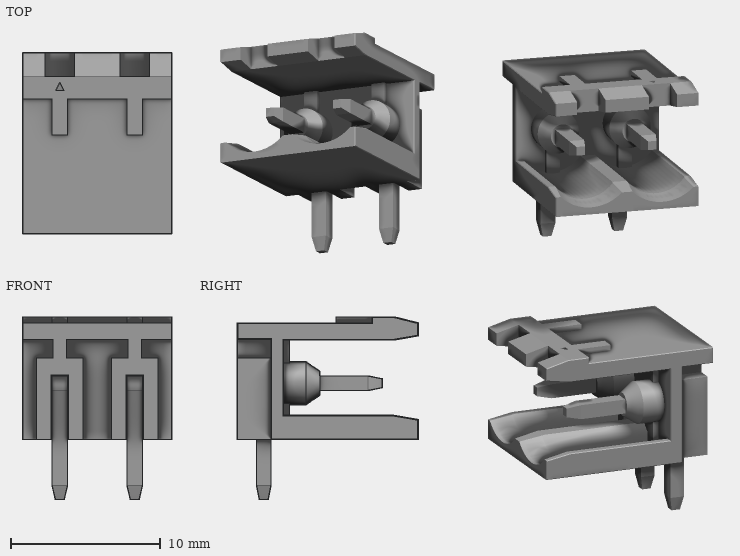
import cadquery as cq


pole_pitch = 5.0
pole_count = 2
housing_width = pole_pitch * pole_count
pole_centres = [(i - (pole_count - 1) / 2) * pole_pitch for i in range(pole_count)]

housing_depth = 12.1
floor_top = 1.65
floor_tip_top = 1.35
floor_slope_length = 1.75
roof_bottom = 6.7
cavity_top = 6.65
roof_top = 7.8
roof_tip_bottom = 6.93
roof_slope_length = 1.6
strap_top = 8.2
strap_rear = housing_depth - 3.1
wall_rear = 2.25
wall_front = 3.1
side_edge_chamfer = 0.05

key_width = 1.05
key_rear = housing_depth - 5.5
notch_width = 1.97
notch_depth = 1.6
marker_size = 0.53
marker_base = 9.58
marker_depth = 0.1

trough_width = 4.0
trough_bottom = 0.68
trough_entry_width = 4.8
trough_entry_bottom = 0.48
trough_entry_length = notch_depth

neck_width = 0.93
block_width = 3.1
block_top = 5.47
slot_width = 1.15
slot_top = 4.33

rib_width = 0.95
rib_front = 3.5
boss_radius = 1.44
boss_tip_radius = 0.8
boss_cone_start = 4.6
boss_front = 5.53

pin_width = 1.05
pin_thickness = 0.98
pin_axis_z = 3.77
pin_front = 9.7
pin_bottom = -4.0
pin_rear = 1.29
pin_taper_length = 0.95
pin_tip_size = 0.6


def box(x_centre, width, y_range, z_range):
    """Block of the given width about x_centre, spanning y_range and z_range."""
    y0, y1 = y_range
    z0, z1 = z_range
    return cq.Workplane("XY").box(width, y1 - y0, z1 - z0).translate(
        (x_centre, (y0 + y1) / 2, (z0 + z1) / 2)
    )


def extrude_side_profile(profile, width):
    """Extrude a closed (Y, Z) profile symmetrically about X = 0."""
    return profile.close().extrude(width / 2, both=True)


def make_shell():
    """Floor, wall and roof with the raised front strap, with the side edges broken."""
    profile = cq.Workplane("YZ").polyline(
        [
            (wall_rear, 0),
            (housing_depth, 0),
            (housing_depth, floor_tip_top),
            (housing_depth - floor_slope_length, floor_top),
            (wall_front, floor_top),
            (wall_front, cavity_top),
            (housing_depth - roof_slope_length, cavity_top),
            (housing_depth, roof_tip_bottom),
            (housing_depth, roof_top),
            (housing_depth - roof_slope_length, strap_top),
            (strap_rear, strap_top),
            (strap_rear, roof_top),
            (0, roof_top),
            (0, roof_bottom),
            (wall_rear, roof_bottom),
        ]
    )
    shell = extrude_side_profile(profile, housing_width)
    return shell.faces("<X or >X").chamfer(side_edge_chamfer)


def trough_section(workplane, width, bottom):
    """Add an arc-bottomed trough outline, level with the floor top, to workplane."""
    half = width / 2
    return workplane.moveTo(-half, floor_top).threePointArc((0, bottom), (half, floor_top)).close()


def make_trough(x):
    """Cutter for a rounded trough in the floor with a flared entry."""
    entry_rear = housing_depth - trough_entry_length
    rear_plane = cq.Workplane("XZ", origin=(x, entry_rear, 0))
    rear = trough_section(rear_plane, trough_width, trough_bottom).extrude(entry_rear - wall_front)
    entry_plane = cq.Workplane("XZ", origin=(x, housing_depth, 0))
    entry = trough_section(entry_plane, trough_entry_width, trough_entry_bottom)
    entry = entry.workplane(offset=trough_entry_length)
    entry = trough_section(entry, trough_width, trough_bottom).loft(ruled=True)
    return rear.union(entry)


def make_notch(x):
    """Cutter for the notch through the front edge of the roof."""
    return box(x, notch_width, (housing_depth - notch_depth, housing_depth), (cavity_top, strap_top))


def make_key(x):
    """Raised key running back from the strap along the roof."""
    return box(x, key_width, (key_rear, strap_rear), (roof_top, strap_top))


def make_rear_block(x):
    """T-shaped block hanging under the roof, slotted for the pin."""
    neck = box(x, neck_width, (0, wall_rear), (block_top, roof_bottom))
    block = box(x, block_width, (0, wall_rear), (0, block_top))
    slot = box(x, slot_width, (0, wall_rear), (0, slot_top))
    return neck.union(block).cut(slot)


def make_boss(x):
    """Cone-ended round boss around the pin, with an upright rib behind it."""
    boss = (
        cq.Workplane("XY")
        .moveTo(0, wall_rear)
        .lineTo(boss_radius, wall_rear)
        .lineTo(boss_radius, boss_cone_start)
        .lineTo(boss_tip_radius, boss_front)
        .lineTo(0, boss_front)
        .close()
        .revolve(360, (0, 0, 0), (0, 1, 0))
        .translate((x, 0, pin_axis_z))
    )
    rib = box(x, rib_width, (wall_rear, rib_front), (0, roof_bottom))
    return boss.union(rib)


def make_pin(x):
    """Right-angle pin with a rounded outer bend and tapered ends."""
    half = pin_thickness / 2
    pin_bend_front = pin_rear + pin_thickness
    vertical_axis_y = pin_rear + half
    straight_front = pin_front - pin_taper_length
    straight_bottom = pin_bottom + pin_taper_length
    profile = (
        cq.Workplane("YZ")
        .moveTo(straight_front, pin_axis_z - half)
        .lineTo(straight_front, pin_axis_z + half)
        .lineTo(pin_bend_front, pin_axis_z + half)
        .radiusArc((pin_rear, pin_axis_z - half), -pin_thickness)
        .lineTo(pin_rear, straight_bottom)
        .lineTo(pin_bend_front, straight_bottom)
        .lineTo(pin_bend_front, pin_axis_z - half)
    )
    pin = extrude_side_profile(profile, pin_width)
    front_tip = (
        cq.Workplane("XZ", origin=(0, straight_front, pin_axis_z))
        .rect(pin_width, pin_thickness)
        .workplane(offset=-pin_taper_length)
        .rect(pin_tip_size, pin_tip_size)
        .loft()
    )
    bottom_tip = (
        cq.Workplane("XY", origin=(0, vertical_axis_y, straight_bottom))
        .rect(pin_width, pin_thickness)
        .workplane(offset=-pin_taper_length)
        .rect(pin_tip_size, pin_tip_size)
        .loft()
    )
    return pin.union(front_tip).union(bottom_tip).translate((x, 0, 0))


def make_marker(x):
    """Triangle marking the first pole, sunk into the strap."""
    return (
        cq.Workplane("XY", origin=(0, 0, strap_top - marker_depth))
        .moveTo(x - marker_size / 2, marker_base)
        .lineTo(x + marker_size / 2, marker_base)
        .lineTo(x, marker_base + marker_size)
        .close()
        .extrude(marker_depth)
    )


housing = make_shell()
for pole_x in pole_centres:
    housing = housing.cut(make_trough(pole_x))
    housing = housing.cut(make_notch(pole_x))
    housing = housing.union(make_key(pole_x))
    housing = housing.union(make_rear_block(pole_x))
    housing = housing.union(make_boss(pole_x))
    housing = housing.union(make_pin(pole_x))

result = housing.cut(make_marker(pole_centres[0]))